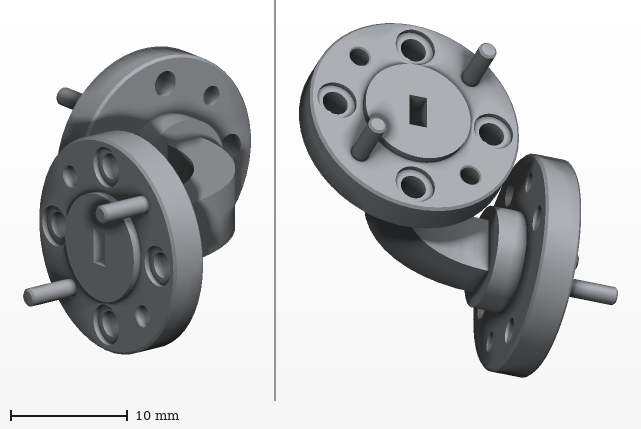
import cadquery as cq
import math


flange_diameter = 19.05
flange_thickness = 3.25
flange_chamfer = 0.23
boss_diameter = 9.55
boss_height = 0.75
hub_diameter = 8.9
hub_length = 2.53

bolt_circle_diameter = 14.2
bolt_hole_diameter = 2.27
counterbore_diameter = 3.57
counterbore_depth = 0.5
open_dowel_hole_diameter = 1.75
open_dowel_countersink = 0.13
pin_hole_countersink = 0.1
bolt_angles = (0, 90, 180, 270)
pin_angles = (45, 225)
open_dowel_angles = (135, 315)

pin_diameter = 1.6
pin_protrusion = 4.65
pin_chamfer = 0.2

guide_width = 3.55
guide_height = 5.25
window_width = 1.6
window_height = 3.05

overall_length = 32.45
pin_tip = overall_length - flange_diameter / 2
flange_face = pin_tip - pin_protrusion
flange_back = flange_face - flange_thickness
hub_end = flange_back - hub_length
boss_face = flange_face + boss_height
bend_radius = hub_end


def outward_plane(distance):
    """Workplane facing -Y at a distance along the -Y flange axis, with its axes along X and Z."""
    return cq.Workplane("XZ").workplane(offset=distance)


def to_other_end(shape):
    """Turn a shape from the -Y end to the -X end."""
    return shape.rotate((0, 0, 0), (0, 0, 1), -90)


def circle_points(angles):
    """Points on the bolt circle at angles in degrees from +X toward +Z."""
    radius = bolt_circle_diameter / 2
    return [
        (radius * math.cos(math.radians(angle)), radius * math.sin(math.radians(angle)))
        for angle in angles
    ]


def make_flange():
    """Chamfered disc with a raised boss in front and a hub behind, facing -Y."""
    disc = outward_plane(flange_back).circle(flange_diameter / 2).extrude(flange_thickness)
    disc = disc.edges().chamfer(flange_chamfer)
    hub = outward_plane(hub_end).circle(hub_diameter / 2).extrude(hub_length)
    boss = outward_plane(flange_face).circle(boss_diameter / 2).extrude(boss_height)
    return disc.union(hub).union(boss)


def make_through_holes(angles, diameter):
    """Cylinders through the thickness of the -Y flange."""
    return (
        outward_plane(flange_back).pushPoints(circle_points(angles))
        .circle(diameter / 2).extrude(flange_thickness)
    )


def make_countersinks(angles, hole_diameter, depth):
    """45 degree cones at the mouths of holes in the front of the -Y flange."""
    return (
        outward_plane(flange_face).pushPoints(circle_points(angles))
        .circle(hole_diameter / 2 + depth).extrude(-depth, taper=45)
    )


def make_flange_cuts():
    """Bolt holes, dowel holes and the waveguide window of the -Y flange."""
    bolt_holes = make_through_holes(bolt_angles, bolt_hole_diameter)
    counterbores = (
        outward_plane(flange_face).pushPoints(circle_points(bolt_angles))
        .circle(counterbore_diameter / 2).extrude(-counterbore_depth)
    )
    open_dowel_holes = (
        make_through_holes(open_dowel_angles, open_dowel_hole_diameter)
        .union(make_countersinks(open_dowel_angles, open_dowel_hole_diameter, open_dowel_countersink))
    )
    pin_holes = (
        make_through_holes(pin_angles, pin_diameter)
        .union(make_countersinks(pin_angles, pin_diameter, pin_hole_countersink))
    )
    window = (
        outward_plane(hub_end).rect(window_width, window_height).extrude(boss_face - hub_end)
    )
    return bolt_holes.union(counterbores).union(open_dowel_holes).union(pin_holes).union(window)


def make_guide():
    """Rectangular bar swept through a quarter turn from the -Y hub to the -X hub."""
    return (
        outward_plane(hub_end).rect(guide_width, guide_height)
        .revolve(90, (-bend_radius, 0), (-bend_radius, 1))
    )


def make_waveguide():
    """Guide with the same flange at both ends."""
    flange = make_flange().cut(make_flange_cuts())
    return make_guide().union(flange).union(to_other_end(flange))


def make_pin(point):
    """Dowel pin through the -Y flange, chamfered at its outer tip."""
    return (
        outward_plane(flange_back).center(*point)
        .circle(pin_diameter / 2).extrude(pin_tip - flange_back)
        .faces("<Y").chamfer(pin_chamfer)
    )


waveguide = make_waveguide()

pins = []
for pin_point in circle_points(pin_angles):
    pin = make_pin(pin_point)
    pins.append(pin.val())
    pins.append(to_other_end(pin).val())

result = cq.Compound.makeCompound([*waveguide.solids().vals(), *pins])